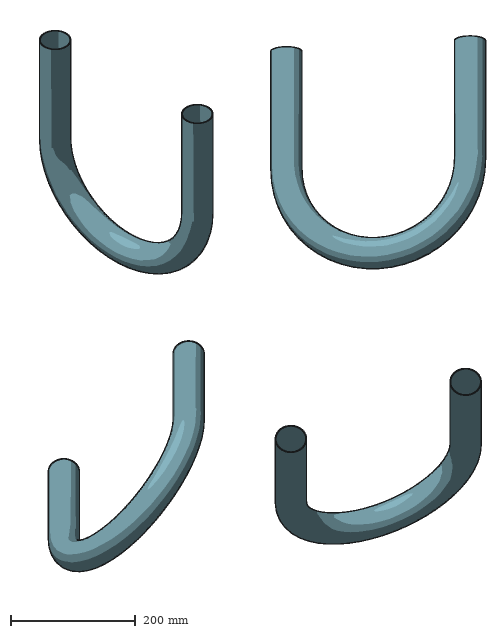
import cadquery as cq

overall_height = 375.0
overall_width = 350.7
outer_diameter = 50.5
inner_diameter = 47.5

bend_radius = (overall_width - outer_diameter) / 2
leg_length = overall_height - bend_radius - outer_diameter / 2


def u_shaped_rod(diameter):
    """Solid round rod following the U-shaped centreline."""
    centreline = (
        cq.Workplane("XZ")
        .moveTo(-bend_radius, leg_length)
        .lineTo(-bend_radius, 0)
        .threePointArc((0, -bend_radius), (bend_radius, 0))
        .lineTo(bend_radius, leg_length)
    )
    leg_end = cq.Workplane("XY", origin=(-bend_radius, 0, leg_length))
    return leg_end.circle(diameter / 2).sweep(centreline)


result = u_shaped_rod(outer_diameter).cut(u_shaped_rod(inner_diameter))